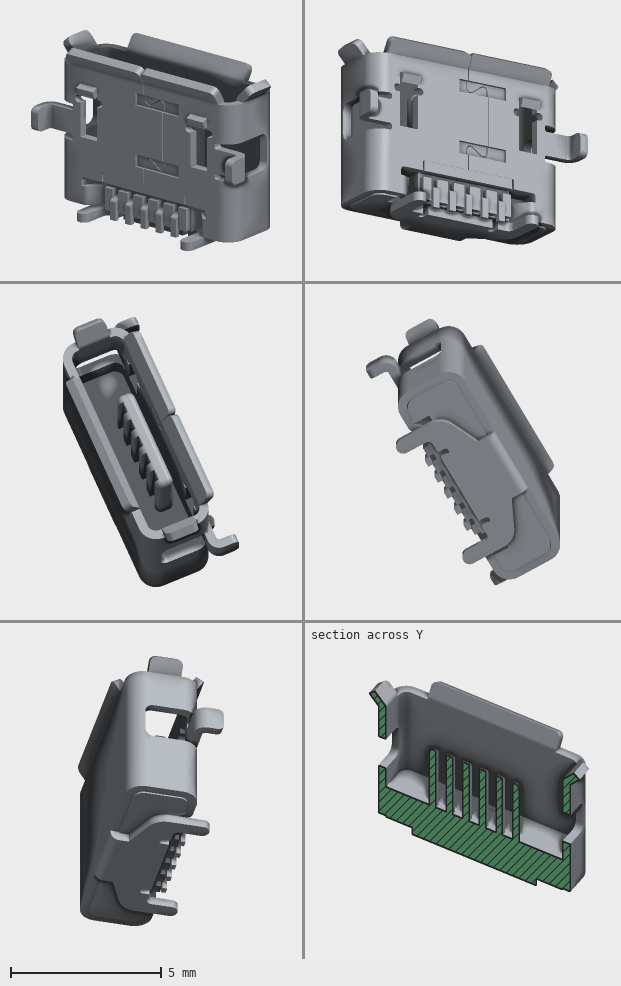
import cadquery as cq
import math


sheet = 0.3
shell_width = 7.48
shell_depth = 2.46
shell_height = 4.84
shell_corner = 0.605
half_width = shell_width / 2
half_depth = shell_depth / 2
inner_x = half_width - sheet
inner_y = half_depth - sheet

overlap = 0.09

lip_bend = 0.225
long_lip_angle = 31.5
long_lip_length = 0.53
long_lip_corner = 0.19
rear_lip_width = 4.98
front_lip_reach = 3.19
side_lip_angle = 42
side_lip_length = 0.54
side_lip_corner = 0.21
side_lip_width = 1.12

seam_gap = 0.03
seam_loop = 0.15
seam_shift = 0.805
recess_height = 0.44
recess_depth = 0.1
recess_left = -0.355
recess_right = 1.5
seam_levels = (2.07, 4.24)

window_bottom = 2.16
window_top = 3.46
window_rear = 0.675
window_corner = 0.28
window_reach = 3.045
relief_corner = 0.07
leg_span = 8.65
leg_bottom = 2.4
leg_top = 3.235
leg_end = -1.88
leg_bend = 0.1
leg_corner = 0.21

spring_x = 2.37
spring_width = 0.71
slot_bottom = 2.37
slot_top = 4.065
ear_bottom = 3.57
ear_top = 3.83
ear_span = 1.16
spring_tilt = 22
spring_top = 4.26
spring_reach = 0.25

base_bottom = -0.05
base_top = 1.32
base_corner = 0.355
nose_half_width = 1.81
nose_corner = 0.07
pad_half_width = 1.74
pad_bottom = 0.97
pad_setback = 0.01
tooth_front = -1.15
tooth_top = 0.79
pocket_reach = 2.67
pocket_rear = -0.39
pocket_corner = 0.12

flap_hinge = 2.61
flap_end = 1.96
flap_height = 0.66
flap_angle = 49
flap_thickness = 0.24
flap_corner = 0.16

pin_count = 5
pin_pitch = 0.65
pin_width = 0.23
pin_front = -1.27
pin_thickness = 0.165
pin_bottom = -0.25
pin_root_top = 0.55
pin_level_run = 0.09
pin_knee_y = -1.16
pin_knee_top = 0.48

tongue_half_width = 1.765
tongue_rear = -0.035
tongue_front = -0.64
tongue_top = 3.89
tongue_round = 0.21
tongue_tip_round = 0.2
groove_width = 0.38
groove_depth = 0.16

notch_half_width = 0.51
notch_front = 0.62
notch_depth = 0.52
notch_chamfer = 0.1
notch_round = 0.21

strap_half_width = 1.125
strap_front = 0.605
strap_bend = 0.29
foot_outer = 2.47
foot_width = 0.485
foot_end = -1.88
shoulder_radius = 0.67
shoulder_angle = 65
plate_front = -0.735
plate_fillet = 0.18
slit_x = 1.38
slit_width = 0.22
slit_depth = 0.35


def box(x0, x1, y0, y1, z0, z1):
    """Axis-aligned block between the given limits."""
    return cq.Workplane("XY").box(x1 - x0, y1 - y0, z1 - z0, centered=False).translate((x0, y0, z0))


def both_sides(solid):
    """The solid together with its mirror image across X = 0."""
    return solid.union(solid.mirror("YZ"))


def on_circle(center, radius, degrees):
    angle = math.radians(degrees)
    return (center[0] + radius * math.cos(angle), center[1] + radius * math.sin(angle))


def tube():
    outer = cq.Workplane("XY").rect(shell_width, shell_depth).extrude(shell_height)
    inner = cq.Workplane("XY").rect(2 * inner_x, 2 * inner_y).extrude(shell_height)
    outer = outer.edges("|Z").fillet(shell_corner)
    return outer.cut(inner.edges("|Z").fillet(shell_corner - sheet))


def lip(width, length, degrees, corner):
    """Lip leaning toward +Y, standing on a wall whose inner face is at Y = 0 and rim at Z = 0."""
    angle = math.radians(degrees)
    run, rise = math.sin(angle), math.cos(angle)
    bend_start = (sheet - lip_bend) * math.tan(angle / 2)
    bend_center = (lip_bend, bend_start)
    outer_tip = (sheet + length * run, length * rise)
    inner_tip = (outer_tip[0] - sheet * rise, outer_tip[1] + sheet * run)
    blade = (
        cq.Workplane("YZ")
        .moveTo(0, 0)
        .lineTo(sheet, 0)
        .lineTo(*outer_tip)
        .lineTo(*inner_tip)
        .lineTo(*on_circle(bend_center, lip_bend, 180 - degrees))
        .threePointArc(on_circle(bend_center, lip_bend, 180 - degrees / 2), (0, bend_start))
        .close()
        .extrude(width / 2, both=True)
    )
    tip_edges = cq.selectors.ParallelDirSelector(cq.Vector(0, -rise, run))
    return blade.edges(tip_edges).fillet(corner)


def lips():
    rear = lip(rear_lip_width, long_lip_length, long_lip_angle, long_lip_corner)
    rear = rear.translate((0, inner_y, shell_height))

    front_width = front_lip_reach - seam_gap / 2
    front = lip(front_width, long_lip_length, long_lip_angle, long_lip_corner)
    front = front.rotate((0, 0, 0), (0, 0, 1), 180)
    front = front.translate((front_lip_reach - front_width / 2, -inner_y, shell_height))

    side = lip(side_lip_width, side_lip_length, side_lip_angle, side_lip_corner)
    side = side.rotate((0, 0, 0), (0, 0, 1), -90).translate((inner_x, 0, shell_height))
    return rear.union(both_sides(front)).union(both_sides(side))


def seam_arcs(offset):
    """Arcs (start, middle, end) of the seam from bottom to top, shifted sideways by offset."""
    low, high = seam_levels
    near = (seam_loop, low)
    far = (seam_shift - seam_loop, low)
    near_radius = seam_loop - offset
    far_radius = seam_loop + offset
    touch = math.degrees(math.acos(2 * seam_loop / (far[0] - near[0])))
    lower = [
        [on_circle(near, near_radius, a) for a in (180, 90 + touch / 2, touch)],
        [on_circle(far, far_radius, a) for a in (180 + touch, 270 + touch / 2, 360)],
    ]
    upper = [[(x, low + high - z) for x, z in reversed(arc)] for arc in reversed(lower)]
    return lower + upper


def seam():
    half_gap = seam_gap / 2
    top = shell_height + 2 * long_lip_length
    outline = cq.Workplane("XZ", origin=(0, -inner_y + overlap, 0)).moveTo(half_gap, base_top)
    for start, middle, end in seam_arcs(half_gap):
        outline = outline.lineTo(*start).threePointArc(middle, end)
    outline = outline.lineTo(half_gap, top).lineTo(-half_gap, top)
    for start, middle, end in reversed(seam_arcs(-half_gap)):
        outline = outline.lineTo(*end).threePointArc(middle, start)
    return outline.lineTo(-half_gap, base_top).close().extrude(shell_depth / 2)


def seam_recesses():
    cuts = cq.Workplane("XY")
    for level in seam_levels:
        bottom = level - recess_height / 2
        top = level + recess_height / 2
        floor = -half_depth + recess_depth
        cuts = cuts.union(box(recess_left, recess_right, -half_depth, floor, bottom, top))
    return cuts


def side_window():
    """Opening in the +X wall, with a relief above and below the solder leg in the front wall."""
    window = box(window_reach, half_width, -inner_y, window_rear, window_bottom, window_top)
    window = window.edges("|X and >Y").fillet(window_corner)
    for bottom, top in ((window_bottom, leg_bottom), (leg_top, window_top)):
        relief = box(window_reach, half_width, -half_depth, -inner_y, bottom, top)
        window = window.union(relief.edges("|Y and <X").fillet(relief_corner))
    return window


def solder_leg():
    """Bar left in the window at the front plane, bent forward at its end."""
    outer_x = leg_span / 2
    bend_center = (outer_x - sheet - leg_bend, -half_depth - leg_bend)
    outer_bend = leg_bend + sheet
    bar = (
        cq.Workplane("XY", origin=(0, 0, leg_bottom))
        .moveTo(window_reach - overlap, -half_depth)
        .lineTo(bend_center[0], -half_depth)
        .threePointArc(on_circle(bend_center, leg_bend, 45), (outer_x - sheet, bend_center[1]))
        .lineTo(outer_x - sheet, leg_end)
        .lineTo(outer_x, leg_end)
        .lineTo(outer_x, bend_center[1])
        .threePointArc(on_circle(bend_center, outer_bend, 45), (bend_center[0], -inner_y))
        .lineTo(window_reach - overlap, -inner_y)
        .close()
        .extrude(leg_top - leg_bottom)
    )
    return bar.edges("|X and <Y").fillet(leg_corner)


def spring_slot():
    left = spring_x - spring_width / 2
    slot = box(left, left + spring_width, -half_depth, -inner_y, slot_bottom, slot_top)
    ears = (
        cq.Workplane("XZ", origin=(spring_x, -inner_y, (ear_bottom + ear_top) / 2))
        .slot2D(ear_span, ear_top - ear_bottom)
        .extrude(sheet)
    )
    return slot.union(ears)


def spring_tip():
    """Short sheet end leaning outward and down from the wall above a spring slot."""
    tilt = math.radians(spring_tilt)
    root = (sheet - sheet * math.sin(tilt)) / math.cos(tilt)
    tip = box(-spring_width / 2, spring_width / 2, -spring_reach, root, -sheet, 0)
    tip = tip.rotate((0, 0, 0), (1, 0, 0), spring_tilt)
    return tip.translate((spring_x, -half_depth, spring_top))


def nose_opening():
    """Front-wall cutout for the raised pad, widening below it for the contact tails and flaps."""
    upper = box(-nose_half_width, nose_half_width, -half_depth, -inner_y, base_bottom, base_top)
    upper = upper.edges("|Y and >Z").fillet(nose_corner)
    lower = box(-pocket_reach, pocket_reach, -half_depth, -inner_y, base_bottom, pad_bottom)
    return upper.union(lower.edges("|Y and >Z").fillet(pocket_corner))


def flap():
    """Flap at +X, folded back round a vertical hinge into the pocket of the insulator."""
    angle = math.radians(flap_angle)
    pivot = (flap_hinge, -half_depth + flap_thickness)
    bend_end = on_circle(pivot, flap_thickness, 270 - flap_angle)
    length = (bend_end[0] - flap_end) / math.cos(angle)
    run = (-length * math.cos(angle), length * math.sin(angle))
    blade = (
        cq.Workplane("XY")
        .moveTo(pocket_reach + overlap, -half_depth)
        .lineTo(flap_hinge, -half_depth)
        .threePointArc(on_circle(pivot, flap_thickness, 270 - flap_angle / 2), bend_end)
        .lineTo(bend_end[0] + run[0], bend_end[1] + run[1])
        .lineTo(pivot[0] + run[0], pivot[1] + run[1])
        .lineTo(*pivot)
        .lineTo(pocket_reach + overlap, pivot[1])
        .close()
        .extrude(flap_height)
    )
    end_edges = cq.selectors.ParallelDirSelector(cq.Vector(math.sin(angle), math.cos(angle), 0))
    return blade.edges(end_edges).edges("<X").fillet(flap_corner)


def latch_notch():
    """Pocket at the rear of the floor: chamfered sides, round lower corners, rounded rear ledge."""
    bottom = base_top - notch_depth
    channel_half = notch_half_width - notch_chamfer
    channel = box(-channel_half, channel_half, notch_front, inner_y, bottom, base_top)
    channel = channel.edges("|Y and <Z").fillet(notch_round)
    mouth = (
        cq.Workplane("XZ", origin=(0, inner_y, 0))
        .moveTo(-notch_half_width, base_top)
        .lineTo(notch_half_width, base_top)
        .lineTo(channel_half, base_top - notch_chamfer)
        .lineTo(-channel_half, base_top - notch_chamfer)
        .close()
        .extrude(inner_y - notch_front)
    )
    ledge = (
        cq.Workplane("YZ", origin=(0, inner_y, base_top - notch_chamfer - notch_round))
        .circle(notch_round)
        .extrude(notch_half_width, both=True)
    )
    return channel.union(mouth).cut(ledge)


def base():
    body = box(-inner_x, inner_x, -inner_y, inner_y, base_bottom, base_top).edges("|Z").fillet(base_corner)
    pocket = box(nose_half_width, pocket_reach, -inner_y, pocket_rear, base_bottom, pad_bottom)
    pad_front = -half_depth + pad_setback
    pad = box(-pad_half_width, pad_half_width, pad_front, -inner_y, pad_bottom, base_top)
    return body.cut(both_sides(pocket)).cut(latch_notch()).union(pad)


def pin_positions():
    return [(i - (pin_count - 1) / 2) * pin_pitch for i in range(pin_count)]


def teeth():
    """Low wall in front of the insulator, slotted for the contact tails."""
    wall = box(-pad_half_width, pad_half_width, tooth_front, -inner_y, 0, tooth_top)
    for x in pin_positions():
        wall = wall.cut(box(x - pin_width / 2, x + pin_width / 2, tooth_front, -inner_y, 0, tooth_top))
    return wall


def pin():
    """Contact tail leaving the insulator forward and turning down."""
    bend = pin_knee_y - pin_front
    bend_center = (pin_knee_y, pin_knee_top - bend)
    pin_back = pin_front + pin_thickness
    return (
        cq.Workplane("YZ")
        .moveTo(-inner_y + overlap, pin_root_top)
        .lineTo(-inner_y - pin_level_run, pin_root_top)
        .lineTo(pin_knee_y, pin_knee_top)
        .threePointArc(on_circle(bend_center, bend, 135), (pin_front, bend_center[1]))
        .lineTo(pin_front, pin_bottom)
        .lineTo(pin_back, pin_bottom)
        .lineTo(pin_back, bend_center[1])
        .lineTo(-inner_y + overlap, bend_center[1])
        .close()
        .extrude(pin_width / 2, both=True)
    )


def tongue():
    blade = box(-tongue_half_width, tongue_half_width, tongue_front, tongue_rear, base_top - overlap, tongue_top)
    blade = blade.edges("|Z").fillet(tongue_round)
    blade = blade.faces(">Z").edges().fillet(tongue_tip_round)
    half = groove_width / 2
    groove_floor = tongue_rear - groove_depth
    for x in pin_positions():
        blade = blade.cut(box(x - half, x + half, groove_floor, tongue_rear, base_top, tongue_top))
    return blade


def plate_half():
    """The +X half of the folded plate, reaching from the rear wall to the end of its leg."""
    angle = math.radians(shoulder_angle)
    shoulder_x = foot_outer - shoulder_radius * (1 - math.cos(angle))
    shoulder_y = strap_front - (shoulder_x - strap_half_width) / math.tan(angle)
    shoulder_center = (foot_outer - shoulder_radius, shoulder_y - shoulder_radius * math.sin(angle))
    foot_inner = foot_outer - foot_width
    toe_center = (foot_outer - foot_width / 2, foot_end + foot_width / 2)
    fillet_center = (foot_inner - plate_fillet, plate_front - plate_fillet)
    plate = (
        cq.Workplane("XY", origin=(0, 0, base_bottom - sheet))
        .moveTo(0, half_depth)
        .lineTo(strap_half_width, half_depth)
        .lineTo(strap_half_width, strap_front)
        .lineTo(shoulder_x, shoulder_y)
        .threePointArc(
            on_circle(shoulder_center, shoulder_radius, shoulder_angle / 2),
            (foot_outer, shoulder_center[1]),
        )
        .lineTo(foot_outer, toe_center[1])
        .threePointArc((toe_center[0], foot_end), (foot_inner, toe_center[1]))
        .lineTo(foot_inner, fillet_center[1])
        .threePointArc(on_circle(fillet_center, plate_fillet, 45), (fillet_center[0], plate_front))
        .lineTo(0, plate_front)
        .close()
        .extrude(sheet)
    )
    slit = (
        cq.Workplane("XY", origin=(slit_x, plate_front, base_bottom - sheet))
        .slot2D(2 * slit_depth, slit_width, 90)
        .extrude(sheet)
    )
    return plate.cut(slit)


def folded_plate():
    plate = both_sides(plate_half()).edges("|X and >Y and <Z").fillet(strap_bend)
    strap = box(-strap_half_width, strap_half_width, inner_y, half_depth, base_bottom, 0)
    return plate.union(strap)


shell = tube().union(lips())
shell = shell.cut(seam()).cut(seam_recesses()).cut(nose_opening())
shell = shell.cut(both_sides(side_window())).cut(both_sides(spring_slot()))
shell = shell.union(both_sides(solder_leg())).union(both_sides(spring_tip()))
shell = shell.union(both_sides(flap())).union(folded_plate())

insulator = base().union(teeth()).union(tongue())
for position in pin_positions():
    insulator = insulator.union(pin().translate((position, 0, 0)))

result = shell.union(insulator)